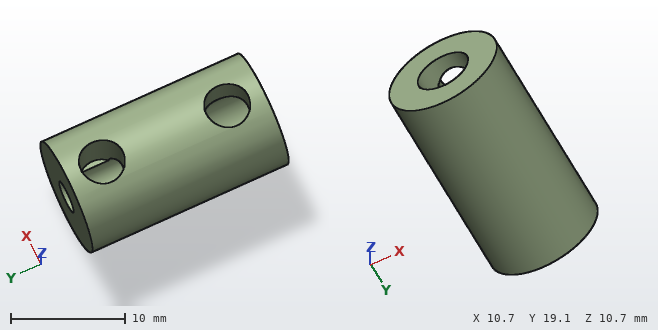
import cadquery as cq
import math

length = 19.05
outer_diameter = 10.67
large_bore_diameter = 5.0
small_bore_diameter = 3.0
drill_point_angle = 118.0
screw_hole_diameter = 4.04
screw_hole_inset = 3.45

front_y = -length / 2
back_y = length / 2
outer_radius = outer_diameter / 2
large_radius = large_bore_diameter / 2
small_radius = small_bore_diameter / 2

step_y = 0.0
taper_length = (large_radius - small_radius) / math.tan(math.radians(drill_point_angle / 2))


def make_body():
    """Revolve the wall section between the stepped bore and the outside."""
    return (
        cq.Workplane("XY")
        .moveTo(large_radius, front_y)
        .lineTo(outer_radius, front_y)
        .lineTo(outer_radius, back_y)
        .lineTo(small_radius, back_y)
        .lineTo(small_radius, step_y + taper_length)
        .lineTo(large_radius, step_y)
        .close()
        .revolve(360, (0, 0, 0), (0, 1, 0))
    )


def make_screw_holes():
    """Vertical holes from the bore axis out through the top."""
    hole_offset = length / 2 - screw_hole_inset
    return (
        cq.Workplane("XY")
        .pushPoints([(0, -hole_offset), (0, hole_offset)])
        .circle(screw_hole_diameter / 2)
        .extrude(outer_radius)
    )


result = make_body().cut(make_screw_holes())